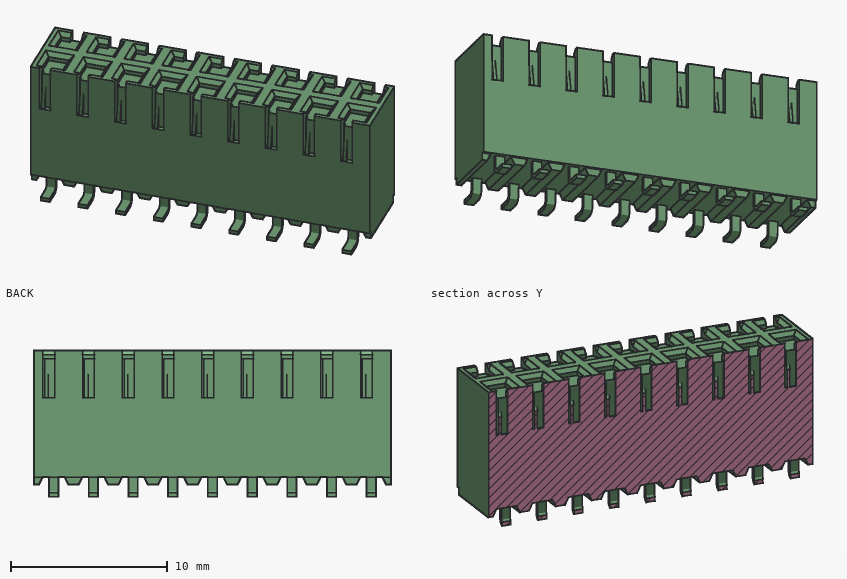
import cadquery as cq

length = 22.83
foot_span = 6.75
height = 9.35

columns = 9
pitch = length / columns
body_width = 5.02
body_height = 8.1
body_bottom = height - body_height
row_y = pitch / 2

socket_opening = 1.92
socket_size = 1.37
lead_in_depth = 0.27
socket_depth = 0.55

slot_start = -socket_size / 2
slot_width = 0.75
slot_depth = 0.32
slot_height = 3.04
slot_bottom = height - slot_height
groove_width = 0.11
groove_depth = body_width / 2 - row_y + slot_start

ramp_width = 0.23
ramp_top = height - 1.58
ramp_foot = height - 2.83
ramp_setback = 0.07

standoff_height = 0.48
standoff_width = 4.61
standoff_root = 1.15
standoff_tip = 0.66

tail_width = 0.62
tail_thickness = 0.25
tail_inset = 0.35
bend_radius = 0.25
tail_embed = 0.23

wall_y = -body_width / 2
column_x = [(i - (columns - 1) / 2) * pitch for i in range(columns)]


def box(x0, x1, y0, y1, z0, z1):
    """Block spanning the given coordinates."""
    return cq.Workplane("XY").box(x1 - x0, y1 - y0, z1 - z0, centered=False).translate((x0, y0, z0))


def extrude_along_x(profile, x0, x1):
    """Extrude a profile drawn in the YZ plane from x0 to x1."""
    return profile.extrude(x1 - x0).translate((x0, 0, 0))


def make_socket():
    """Square pocket with a tapered mouth, in the front row at X = 0."""
    hole = cq.Workplane("XY").workplane(offset=height - socket_depth).center(0, -row_y)
    hole = hole.rect(socket_size, socket_size).extrude(socket_depth)
    mouth = (
        cq.Workplane("XY").workplane(offset=height).center(0, -row_y)
        .rect(socket_opening, socket_opening)
        .workplane(offset=-lead_in_depth).rect(socket_size, socket_size)
        .loft(ruled=True)
    )
    return hole.union(mouth)


def make_slot():
    """Wall slot that opens into the socket, less the ramp left standing in it."""
    slot_end = slot_start + slot_width
    groove_end = slot_start + groove_width
    ramp_end = groove_end + ramp_width
    back_y = wall_y + slot_depth

    slot = box(slot_start, slot_end, wall_y, back_y, slot_bottom, height)
    opening = box(slot_start, slot_end, wall_y, -row_y, height - socket_depth, height)
    groove = box(slot_start, groove_end, wall_y, wall_y + groove_depth, slot_bottom, height)
    ramp_profile = cq.Workplane("YZ").polyline([
        (back_y, slot_bottom),
        (wall_y + ramp_setback, slot_bottom),
        (wall_y + ramp_setback, ramp_foot),
        (back_y, ramp_top),
    ]).close()
    ramp = extrude_along_x(ramp_profile, groove_end, ramp_end)
    return slot.union(opening).union(groove).cut(ramp)


def make_standoff(x):
    """Trapezoidal rib across the housing underside."""
    tip_z = body_bottom - standoff_height
    return (
        cq.Workplane("XZ")
        .polyline([
            (x - standoff_root / 2, body_bottom),
            (x - standoff_tip / 2, tip_z),
            (x + standoff_tip / 2, tip_z),
            (x + standoff_root / 2, body_bottom),
        ])
        .close()
        .extrude(standoff_width / 2, both=True)
    )


def make_tail():
    """L-shaped solder tail in the front row at X = 0."""
    outer_y = wall_y + tail_inset
    outer_radius = bend_radius + tail_thickness
    tail_top = body_bottom + tail_embed
    profile = (
        cq.Workplane("YZ")
        .moveTo(-foot_span / 2, 0)
        .lineTo(outer_y - bend_radius, 0)
        .radiusArc((outer_y + tail_thickness, outer_radius), -outer_radius)
        .lineTo(outer_y + tail_thickness, tail_top)
        .lineTo(outer_y, tail_top)
        .lineTo(outer_y, outer_radius)
        .radiusArc((outer_y - bend_radius, tail_thickness), bend_radius)
        .lineTo(-foot_span / 2, tail_thickness)
        .close()
    )
    return extrude_along_x(profile, -tail_width / 2, tail_width / 2)


def in_both_rows(shape):
    """Copies in every column of the front row and, turned half way round, of the back row."""
    turned = shape.rotate((0, 0, 0), (0, 0, 1), 180)
    copies = cq.Workplane("XY")
    for x in column_x:
        copies = copies.add(shape.translate((x, 0, 0))).add(turned.translate((x, 0, 0)))
    return cq.Workplane(cq.Compound.makeCompound(copies.vals()))


body = box(-length / 2, length / 2, wall_y, -wall_y, body_bottom, height)
body = body.cut(in_both_rows(make_socket().union(make_slot())))

ends = box(-length / 2, length / 2, wall_y, -wall_y, 0, height)
for i in range(columns + 1):
    body = body.union(make_standoff((i - columns / 2) * pitch).intersect(ends))

result = body.union(in_both_rows(make_tail()))